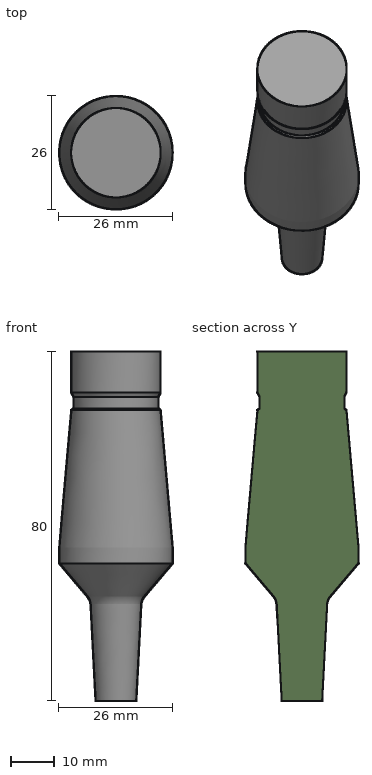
import cadquery as cq

TOTAL_HEIGHT = 80.0
CAP_BOTTOM = 70.6
GROOVE_TOP = 69.6
GROOVE_BOTTOM = 67.0
BODY_TOP = 66.6
BAND_TOP = 35.1
BAND_BOTTOM = 31.5
NECK_HEIGHT = 23.1

CAP_DIAMETER = 20.5
GROOVE_DIAMETER = 19.5
BAND_DIAMETER = 26.0
NECK_DIAMETER = 11.8
TIP_DIAMETER = 9.4

NECK_FILLET = 2.8


def make_turned_body():
    """Revolve the half profile, listed from the tip to the top, about Z."""
    cap_radius = CAP_DIAMETER / 2
    groove_radius = GROOVE_DIAMETER / 2
    band_radius = BAND_DIAMETER / 2
    profile = [
        (0, 0),
        (TIP_DIAMETER / 2, 0),
        (NECK_DIAMETER / 2, NECK_HEIGHT),
        (band_radius, BAND_BOTTOM),
        (band_radius, BAND_TOP),
        (cap_radius, BODY_TOP),
        (groove_radius, GROOVE_BOTTOM),
        (groove_radius, GROOVE_TOP),
        (cap_radius, CAP_BOTTOM),
        (cap_radius, TOTAL_HEIGHT),
        (0, TOTAL_HEIGHT),
    ]
    return cq.Workplane("XZ").polyline(profile).close().revolve(360, (0, 0), (0, 1))


def blend_neck(body):
    """Round the inside corner where the stem meets the shoulder cone."""
    neck_edge = cq.selectors.NearestToPointSelector((0, 0, NECK_HEIGHT))
    return body.edges("%CIRCLE").edges(neck_edge).fillet(NECK_FILLET)


result = blend_neck(make_turned_body())